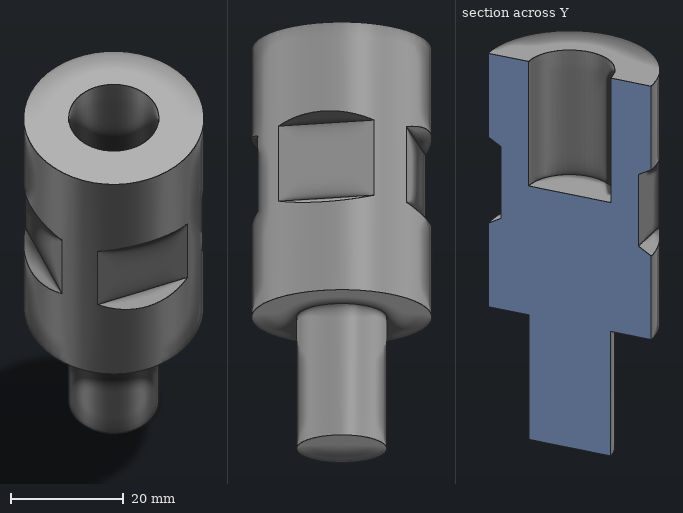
import cadquery as cq
import math

total_length = 74.5
body_diameter = 32.0
shank_diameter = 16.0
shank_length = 24.5
bore_diameter = shank_diameter
bore_depth = shank_length
across_flats = 27.0
flat_height = 14.0
flat_end_slope = 30.0
flat_count = 4

body_length = total_length - shank_length
body_radius = body_diameter / 2
flat_center_z = shank_length + body_length / 2


def make_turned_body():
    """Cylindrical body on a shank, with a blind bore in the top face."""
    shank = cq.Workplane("XY").circle(shank_diameter / 2).extrude(shank_length)
    body = (
        cq.Workplane("XY")
        .workplane(offset=shank_length)
        .circle(body_radius)
        .extrude(body_length)
    )
    bore = (
        cq.Workplane("XY")
        .workplane(offset=total_length - bore_depth)
        .circle(bore_diameter / 2)
        .extrude(bore_depth)
    )
    return shank.union(body).cut(bore)


def make_flat_cutter():
    """Trapezoidal bar that cuts one wrench flat with sloped ends on the +X side."""
    inner_x = across_flats / 2
    outer_x = body_diameter
    inner_half = flat_height / 2
    outer_half = inner_half + (outer_x - inner_x) * math.tan(math.radians(flat_end_slope))
    return (
        cq.Workplane("XZ")
        .moveTo(inner_x, flat_center_z - inner_half)
        .lineTo(outer_x, flat_center_z - outer_half)
        .lineTo(outer_x, flat_center_z + outer_half)
        .lineTo(inner_x, flat_center_z + inner_half)
        .close()
        .extrude(body_radius, both=True)
    )


result = make_turned_body()
flat_cutter = make_flat_cutter()
for index in range(flat_count):
    angle = index * 360 / flat_count
    result = result.cut(flat_cutter.rotate((0, 0, 0), (0, 0, 1), angle))